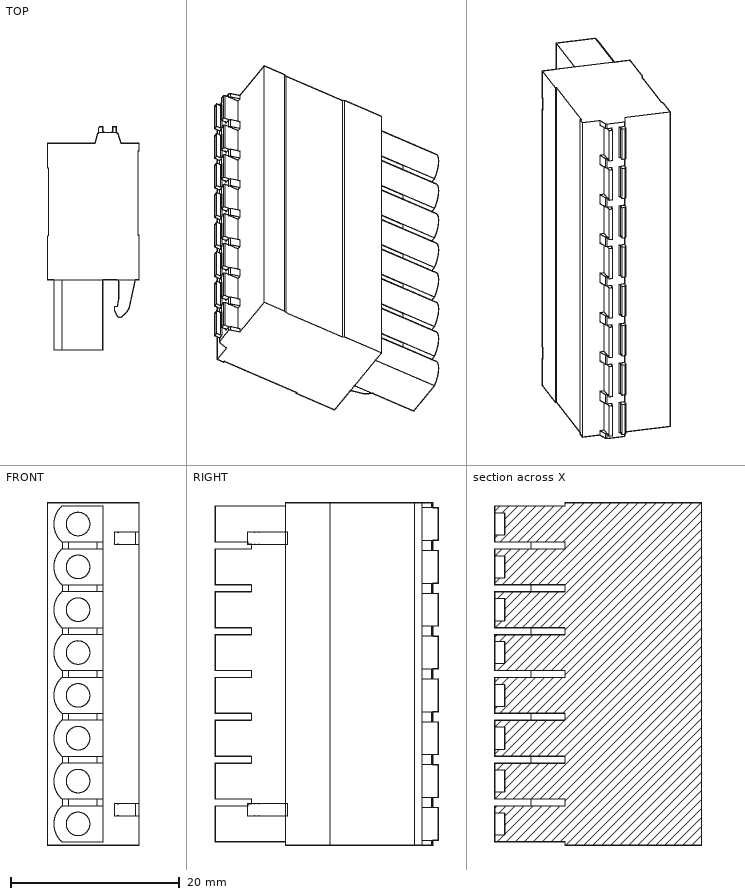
import cadquery as cq
import math

POLE_COUNT = 8
PITCH = 5.08

BODY_WIDTH = 10.9
BODY_DEPTH = 16.2
BODY_HEIGHT = POLE_COUNT * PITCH
WAIST_INSET = 0.14
WAIST_FRONT = 5.3
WAIST_FRONT_RAMP = 0.2
LEFT_WAIST_BACK = BODY_DEPTH - 3.1
LEFT_WAIST_RAMP = 0.3
RIGHT_WAIST_BACK = BODY_DEPTH - 0.9

SLEEVE_LENGTH = 8.35
SLEEVE_LEFT = 0.78
SLEEVE_RIGHT = 6.6
SLEEVE_SHOULDER = 1.75
SLEEVE_HEIGHT = 4.28
WIRE_HOLE_X = 3.65
WIRE_HOLE_DIAMETER = 2.8
WIRE_HOLE_DEPTH = 1.2

WEB_LENGTH = 4.05
WEB_LEFT = 1.8
WEB_SLOT_LEFT = 2.52
WEB_SLOT_RIGHT = 5.9

LATCH_THICKNESS = 1.45
LATCH_END_OFFSET = 4.23
LATCH_BASE_RIGHT = 10.45
LATCH_NOTCH_DEPTH = 0.22
LATCH_ARM_LEFT = 8.45
LATCH_ROOT_RADIUS = 0.25
LATCH_ROOT_LEFT = LATCH_ARM_LEFT - LATCH_ROOT_RADIUS
HOOK_UNDERCUT_START = (LATCH_ARM_LEFT, -2.3)
HOOK_UNDERCUT_END = (8.3, -3.15)
HOOK_SHELF_END = (7.95, -3.15)
HOOK_NOSE = (7.95, -3.65)
TIP_ARC_START = (8.25, -4.2)
TIP_ARC_MIDDLE = (8.6, -4.48)
TIP_ARC_END = (8.9, -4.35)
TIP_BEVEL_END = (9.5, -3.75)
LATCH_BACK_KNEE = (9.73, -3.3)

RAIL_HEIGHT = 1.27
RAIL_BASE_LEFT = 5.65
RAIL_BASE_RIGHT = 8.75
RAIL_SHOULDER_LEFT = 5.95
RAIL_SHOULDER_RIGHT = 8.4
RAIL_EDGE_CHAMFER = 0.15
CONTACT_LENGTH = 1.95
CONTACT_HEIGHT = 3.9
CONTACT_LEFT = 6.07
CONTACT_RIGHT = 8.2
CONTACT_CHAMFER = 0.15
CONTACT_SLOT_LEFT = 6.6
CONTACT_SLOT_RIGHT = 7.75
CONTACT_SLOT_BEVEL = 0.15

OVERLAP = 0.5

POLE_HEIGHTS = [(pole + 0.5) * PITCH for pole in range(POLE_COUNT)]
LATCH_HEIGHTS = [LATCH_END_OFFSET, BODY_HEIGHT - LATCH_END_OFFSET]


def box(x_min, x_max, y_min, y_max, z_min, z_max):
    """Box given by its limits along each axis."""
    size = (x_max - x_min, y_max - y_min, z_max - z_min)
    return cq.Workplane("XY").box(*size, centered=False).translate((x_min, y_min, z_min))


def make_body():
    """Housing with a shallow waist along both long sides."""
    return (
        cq.Workplane("XY")
        .moveTo(0, 0)
        .lineTo(BODY_WIDTH, 0)
        .lineTo(BODY_WIDTH, WAIST_FRONT)
        .lineTo(BODY_WIDTH - WAIST_INSET, WAIST_FRONT)
        .lineTo(BODY_WIDTH - WAIST_INSET, RIGHT_WAIST_BACK)
        .lineTo(BODY_WIDTH, RIGHT_WAIST_BACK)
        .lineTo(BODY_WIDTH, BODY_DEPTH)
        .lineTo(0, BODY_DEPTH)
        .lineTo(0, LEFT_WAIST_BACK + LEFT_WAIST_RAMP)
        .lineTo(WAIST_INSET, LEFT_WAIST_BACK)
        .lineTo(WAIST_INSET, WAIST_FRONT)
        .lineTo(0, WAIST_FRONT - WAIST_FRONT_RAMP)
        .close()
        .extrude(BODY_HEIGHT)
    )


def make_sleeve(z_center):
    """Sleeve with a rounded left side."""
    z_low = z_center - SLEEVE_HEIGHT / 2
    z_high = z_center + SLEEVE_HEIGHT / 2
    return (
        cq.Workplane("XZ", origin=(0, OVERLAP, 0))
        .moveTo(SLEEVE_SHOULDER, z_low)
        .lineTo(SLEEVE_RIGHT, z_low)
        .lineTo(SLEEVE_RIGHT, z_high)
        .lineTo(SLEEVE_SHOULDER, z_high)
        .threePointArc((SLEEVE_LEFT, z_center), (SLEEVE_SHOULDER, z_low))
        .close()
        .extrude(SLEEVE_LENGTH + OVERLAP)
    )


def make_wire_hole(z_center):
    """Blind wire entry in the front end of a sleeve."""
    return (
        cq.Workplane("XZ", origin=(WIRE_HOLE_X, WIRE_HOLE_DEPTH - SLEEVE_LENGTH, z_center))
        .circle(WIRE_HOLE_DIAMETER / 2)
        .extrude(WIRE_HOLE_DEPTH)
    )


def make_web(z_center):
    """Two walls bridging the gap between neighbouring sleeves, with a slot between them."""
    gap_low = z_center - (PITCH - SLEEVE_HEIGHT) / 2
    gap_high = z_center + (PITCH - SLEEVE_HEIGHT) / 2
    left_wall = box(WEB_LEFT, WEB_SLOT_LEFT, -WEB_LENGTH, OVERLAP, gap_low, gap_high)
    right_wall = box(WEB_SLOT_RIGHT, SLEEVE_RIGHT, -WEB_LENGTH, OVERLAP, gap_low, gap_high)
    return left_wall.union(right_wall)


def make_latch(z_center):
    """Hooked latch arm, tapering towards its rounded tip."""
    root_sag = LATCH_ROOT_RADIUS * (1 - math.sqrt(0.5))
    root_middle = (LATCH_ARM_LEFT - root_sag, -root_sag)
    return (
        cq.Workplane("XY", origin=(0, 0, z_center - LATCH_THICKNESS / 2))
        .moveTo(LATCH_ROOT_LEFT, OVERLAP)
        .lineTo(LATCH_ROOT_LEFT, 0)
        .threePointArc(root_middle, (LATCH_ARM_LEFT, -LATCH_ROOT_RADIUS))
        .lineTo(*HOOK_UNDERCUT_START)
        .lineTo(*HOOK_UNDERCUT_END)
        .lineTo(*HOOK_SHELF_END)
        .lineTo(*HOOK_NOSE)
        .lineTo(*TIP_ARC_START)
        .threePointArc(TIP_ARC_MIDDLE, TIP_ARC_END)
        .lineTo(*TIP_BEVEL_END)
        .lineTo(*LATCH_BACK_KNEE)
        .lineTo(LATCH_BASE_RIGHT, 0)
        .lineTo(LATCH_BASE_RIGHT, OVERLAP)
        .close()
        .extrude(LATCH_THICKNESS)
    )


def make_latch_notch(z_center):
    """Bevel across the body corner beside a latch."""
    return (
        cq.Workplane("XY", origin=(0, 0, z_center - LATCH_THICKNESS / 2))
        .moveTo(LATCH_BASE_RIGHT, 0)
        .lineTo(BODY_WIDTH, 0)
        .lineTo(BODY_WIDTH, LATCH_NOTCH_DEPTH)
        .close()
        .extrude(LATCH_THICKNESS)
    )


def make_rail():
    """Tapered rail along the whole back face."""
    return (
        cq.Workplane("XY", origin=(0, BODY_DEPTH, 0))
        .moveTo(RAIL_BASE_LEFT, -OVERLAP)
        .lineTo(RAIL_BASE_RIGHT, -OVERLAP)
        .lineTo(RAIL_BASE_RIGHT, 0)
        .lineTo(RAIL_SHOULDER_RIGHT, RAIL_HEIGHT - RAIL_EDGE_CHAMFER)
        .lineTo(RAIL_SHOULDER_RIGHT - RAIL_EDGE_CHAMFER, RAIL_HEIGHT)
        .lineTo(RAIL_SHOULDER_LEFT + RAIL_EDGE_CHAMFER, RAIL_HEIGHT)
        .lineTo(RAIL_SHOULDER_LEFT, RAIL_HEIGHT - RAIL_EDGE_CHAMFER)
        .lineTo(RAIL_BASE_LEFT, 0)
        .close()
        .extrude(BODY_HEIGHT)
    )


def make_contact_window(z_center):
    """Clearance through the rail around one contact."""
    half = CONTACT_HEIGHT / 2
    return box(RAIL_BASE_LEFT, RAIL_BASE_RIGHT, BODY_DEPTH, BODY_DEPTH + RAIL_HEIGHT,
               z_center - half, z_center + half)


def make_contact(z_center):
    """Forked contact block standing in its rail window."""
    return (
        cq.Workplane("XY", origin=(0, BODY_DEPTH, z_center - CONTACT_HEIGHT / 2))
        .moveTo(CONTACT_LEFT, -OVERLAP)
        .lineTo(CONTACT_RIGHT, -OVERLAP)
        .lineTo(CONTACT_RIGHT, CONTACT_LENGTH)
        .lineTo(CONTACT_SLOT_RIGHT, CONTACT_LENGTH)
        .lineTo(CONTACT_SLOT_RIGHT, RAIL_HEIGHT + CONTACT_SLOT_BEVEL)
        .lineTo(CONTACT_SLOT_RIGHT - CONTACT_SLOT_BEVEL, RAIL_HEIGHT)
        .lineTo(CONTACT_SLOT_LEFT + CONTACT_SLOT_BEVEL, RAIL_HEIGHT)
        .lineTo(CONTACT_SLOT_LEFT, RAIL_HEIGHT + CONTACT_SLOT_BEVEL)
        .lineTo(CONTACT_SLOT_LEFT, CONTACT_LENGTH)
        .lineTo(CONTACT_LEFT + CONTACT_CHAMFER, CONTACT_LENGTH)
        .lineTo(CONTACT_LEFT, CONTACT_LENGTH - CONTACT_CHAMFER)
        .close()
        .extrude(CONTACT_HEIGHT)
    )


def make_contact_rail():
    """Rail with a window and a forked contact at every pole."""
    rail = make_rail()
    for z_center in POLE_HEIGHTS:
        rail = rail.cut(make_contact_window(z_center)).union(make_contact(z_center))
    return rail


part = make_body().union(make_contact_rail())
for pole_z in POLE_HEIGHTS:
    part = part.union(make_sleeve(pole_z))
    part = part.cut(make_wire_hole(pole_z))
for lower_pole_z in POLE_HEIGHTS[:-1]:
    part = part.union(make_web(lower_pole_z + PITCH / 2))
for latch_z in LATCH_HEIGHTS:
    part = part.cut(make_latch_notch(latch_z))
    part = part.union(make_latch(latch_z))

result = part